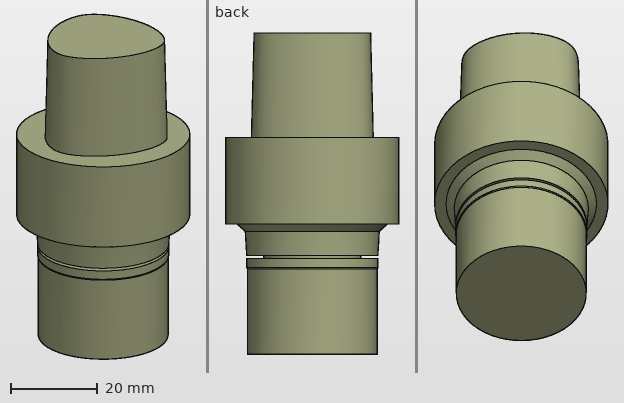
import cadquery as cq
import math

total_height = 74.0
shoulder_z = 49.95
flange_bottom_z = 30.0
cone_bottom_z = 28.3
groove_top_z = 22.7
groove_bottom_z = 22.05
rim_bottom_z = 20.0
shank_top_z = 19.7

flange_diameter = 39.95
cone_top_diameter = 34.6
neck_top_diameter = 30.9
neck_bottom_diameter = 30.3
groove_diameter = 22.4
rim_diameter = 30.3
shank_diameter = 30.0

polygon_base_width = 28.1
polygon_taper = 1 / 20
polygon_eccentricity = 0.9
outline_points = 48


def make_body():
    """Revolve the round body, listed as (diameter, height) from the bottom up."""
    steps = [
        (0, 0),
        (shank_diameter, 0),
        (shank_diameter, shank_top_z),
        (rim_diameter, rim_bottom_z),
        (rim_diameter, groove_bottom_z),
        (groove_diameter, groove_bottom_z),
        (groove_diameter, groove_top_z),
        (neck_bottom_diameter, groove_top_z),
        (neck_top_diameter, cone_bottom_z),
        (cone_top_diameter, flange_bottom_z),
        (flange_diameter, flange_bottom_z),
        (flange_diameter, shoulder_z),
        (0, shoulder_z),
    ]
    profile = [(diameter / 2, z) for diameter, z in steps]
    return cq.Workplane("XZ").polyline(profile).close().revolve(360, (0, 0), (0, 1))


def polygon_outline(width):
    """Points on a three-lobed curve of constant width, with one lobe toward -Y."""
    points = []
    for index in range(outline_points):
        angle = 2 * math.pi * index / outline_points
        across = (
            width / 2 * math.cos(angle)
            + 2 * polygon_eccentricity * math.cos(2 * angle)
            - polygon_eccentricity * math.cos(4 * angle)
        )
        along = (
            width / 2 * math.sin(angle)
            - 2 * polygon_eccentricity * math.sin(2 * angle)
            - polygon_eccentricity * math.sin(4 * angle)
        )
        points.append((along, -across))
    return points


def make_polygon_shank():
    """Loft the tapered polygon from the flange shoulder to the top."""
    height = total_height - shoulder_z
    top_width = polygon_base_width - polygon_taper * height
    return (
        cq.Workplane("XY", origin=(0, 0, shoulder_z))
        .spline(polygon_outline(polygon_base_width), periodic=True)
        .wire()
        .workplane(offset=height)
        .spline(polygon_outline(top_width), periodic=True)
        .wire()
        .loft(ruled=True, combine=True)
    )


result = make_body().union(make_polygon_shank())